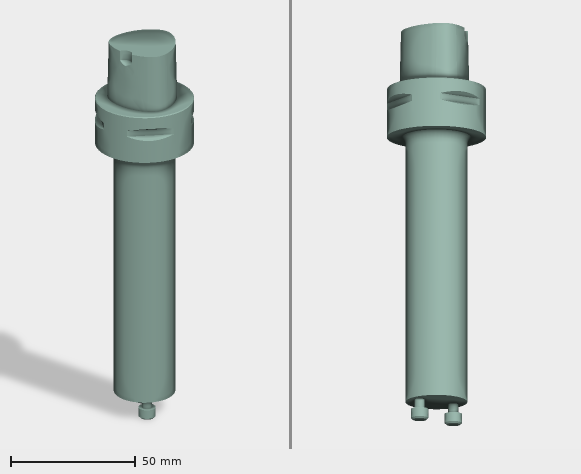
import cadquery as cq
import math

total_length = 162.0
shank_length = 24.0
flange_height = 20.1
screw_length = 8.3

flange_top = total_length - shank_length
flange_bottom = flange_top - flange_height
neck_bottom = screw_length

flange_diameter = 40.0
flange_radius = flange_diameter / 2
flange_edge_chamfer = 0.3
neck_diameter = 25.0
neck_radius = neck_diameter / 2

flare_height = 3.0
flare_width = 1.3

shank_base_radius = 14.1
shank_taper = 1 / 20
shank_top_radius = shank_base_radius - shank_length * shank_taper / 2
lobe_eccentricity = 1.0
lobe_count = 3
first_lobe_angle = 90
face_angle = 360 // (2 * lobe_count)
points_per_face = 7

notch_diameter = 6.5
notch_depth = 4.2
notch_axis_y = -13.5
drill_point_angle = 118

groove_count = 4
first_groove_angle = 45
groove_center_z = flange_top - 7.8
groove_floor_distance = 17.7
groove_floor_height = 2.6
groove_wall_angle = 30
cut_clearance = 1.6

screw_offset = 5.7
screw_positions = [(-screw_offset, screw_offset), (screw_offset, -screw_offset)]
screw_shank_diameter = 4.0
screw_head_diameter = 7.0
screw_head_height = 4.4
screw_head_chamfer = 0.6


def shank_point(mean_radius, angle_degrees, z):
    """Point of the lobed profile whose outward normal has the given angle."""
    normal = math.radians(angle_degrees)
    lobe_phase = lobe_count * math.radians(angle_degrees - first_lobe_angle)
    support = mean_radius + lobe_eccentricity * math.cos(lobe_phase)
    slope = -lobe_count * lobe_eccentricity * math.sin(lobe_phase)
    x = support * math.cos(normal) - slope * math.sin(normal)
    y = support * math.sin(normal) + slope * math.cos(normal)
    return cq.Vector(x, y, z)


def shank_wire(mean_radius, z):
    """Closed lobed profile, one smooth edge per lobe and per flank."""
    edges = []
    for start_angle in range(0, 360, face_angle):
        angles = [start_angle + face_angle * i / (points_per_face - 1) for i in range(points_per_face)]
        points = [shank_point(mean_radius, angle, z) for angle in angles]
        tangents = [
            cq.Vector(-math.sin(math.radians(angle)), math.cos(math.radians(angle)), 0)
            for angle in (angles[0], angles[-1])
        ]
        edges.append(cq.Edge.makeSpline(points, tangents=tangents))
    return cq.Wire.assembleEdges(edges)


def make_shank():
    base = shank_wire(shank_base_radius, flange_top)
    top = shank_wire(shank_top_radius, total_length)
    return cq.Workplane(cq.Solid.makeLoft([base, top], True))


def make_notch():
    """Vertical drilled hole with a conical point, breaking out of the shank side."""
    radius = notch_diameter / 2
    point_height = radius / math.tan(math.radians(drill_point_angle / 2))
    shoulder_z = total_length - notch_depth
    return (
        cq.Workplane("XZ")
        .moveTo(0, total_length)
        .lineTo(radius, total_length)
        .lineTo(radius, shoulder_z)
        .lineTo(0, shoulder_z - point_height)
        .close()
        .revolve(360, (0, 0), (0, 1))
        .translate((0, notch_axis_y, 0))
    )


def make_body():
    """Flange, flare and neck turned as one profile."""
    flare_radius = (flare_height**2 + flare_width**2) / (2 * flare_width)
    half_sweep = math.asin(flare_height / flare_radius) / 2
    flare_mid_x = neck_radius + flare_radius * (1 - math.cos(half_sweep))
    flare_bottom = flange_bottom - flare_height
    flare_mid_z = flare_bottom + flare_radius * math.sin(half_sweep)
    return (
        cq.Workplane("XZ")
        .moveTo(0, neck_bottom)
        .lineTo(neck_radius, neck_bottom)
        .lineTo(neck_radius, flare_bottom)
        .threePointArc((flare_mid_x, flare_mid_z), (neck_radius + flare_width, flange_bottom))
        .lineTo(flange_radius, flange_bottom)
        .lineTo(flange_radius, flange_top - flange_edge_chamfer)
        .lineTo(flange_radius - flange_edge_chamfer, flange_top)
        .lineTo(0, flange_top)
        .close()
        .revolve(360, (0, 0), (0, 1))
    )


def make_groove():
    """Straight flat-bottomed groove with sloping walls, cut square to the X axis."""
    outer_distance = flange_radius + cut_clearance
    half_floor = groove_floor_height / 2
    wall_rise = (outer_distance - groove_floor_distance) * math.tan(math.radians(groove_wall_angle))
    half_mouth = half_floor + wall_rise
    return (
        cq.Workplane("XZ")
        .moveTo(groove_floor_distance, groove_center_z - half_floor)
        .lineTo(outer_distance, groove_center_z - half_mouth)
        .lineTo(outer_distance, groove_center_z + half_mouth)
        .lineTo(groove_floor_distance, groove_center_z + half_floor)
        .close()
        .extrude(flange_radius, both=True)
    )


def make_screws():
    heads = (
        cq.Workplane("XY")
        .pushPoints(screw_positions)
        .circle(screw_head_diameter / 2)
        .extrude(screw_head_height)
        .faces("<Z")
        .chamfer(screw_head_chamfer)
    )
    shanks = (
        cq.Workplane("XY")
        .workplane(offset=screw_head_height)
        .pushPoints(screw_positions)
        .circle(screw_shank_diameter / 2)
        .extrude(neck_bottom - screw_head_height)
    )
    return heads.union(shanks)


body = make_body()
for groove_index in range(groove_count):
    groove_angle = first_groove_angle + groove_index * 360 / groove_count
    body = body.cut(make_groove().rotate((0, 0, 0), (0, 0, 1), groove_angle))

shank = make_shank().cut(make_notch())
result = body.union(shank).union(make_screws())